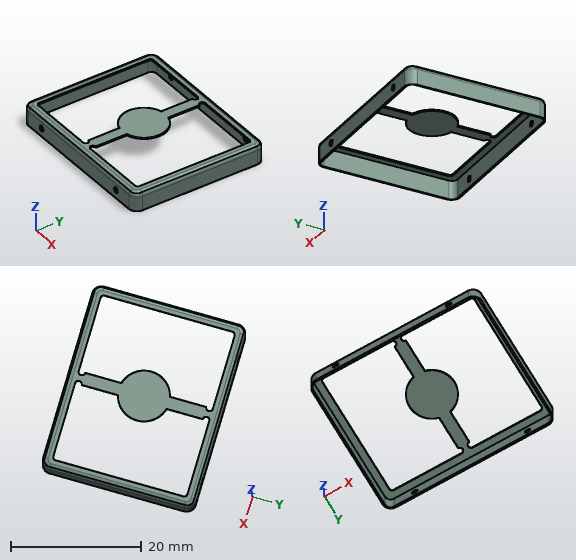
import cadquery as cq

length = 30.0
width = 24.4
height = 3.5
wall = 0.3
lip_width = 1.5
lip_thickness = 0.3
outer_corner_radius = 1.5
opening_corner_radius = 0.5
cavity_corner_radius = 1.0
top_edge_radius = 0.8
opening_length = length - 2 * lip_width
opening_width = width - 2 * lip_width

hole_diameter = 1.0
hole_spacing = 20.0
hole_height = 1.5

plate_thickness = lip_thickness
disc_diameter = 8.0
arm_width = 1.98
notch_radius = 0.5
notch_offset = opening_width / 2 - notch_radius


def rounded_block(size_x, size_y, size_z, corner_radius):
    block = cq.Workplane("XY").rect(size_x, size_y).extrude(size_z)
    return block.edges("|Z").fillet(corner_radius)


def make_frame():
    outer = rounded_block(length, width, height, outer_corner_radius)
    outer = outer.faces(">Z").edges().fillet(top_edge_radius)
    opening = rounded_block(opening_length, opening_width, height, opening_corner_radius)
    cavity = rounded_block(
        length - 2 * wall,
        width - 2 * wall,
        height - lip_thickness,
        cavity_corner_radius,
    )
    return outer.cut(opening).cut(cavity)


def make_cross_holes():
    return (
        cq.Workplane("XZ")
        .pushPoints([(side * hole_spacing / 2, hole_height) for side in (-1, 1)])
        .circle(hole_diameter / 2)
        .extrude(width / 2, both=True)
    )


def make_plate():
    base = cq.Workplane("XY").workplane(offset=height - plate_thickness)
    arms = base.rect(arm_width, opening_width).extrude(plate_thickness)
    notches = (
        base.rect(arm_width, 2 * notch_offset, forConstruction=True)
        .vertices()
        .circle(notch_radius)
        .extrude(plate_thickness)
    )
    disc = base.circle(disc_diameter / 2).extrude(plate_thickness)
    return arms.cut(notches).union(disc)


result = make_frame().cut(make_cross_holes()).union(make_plate())